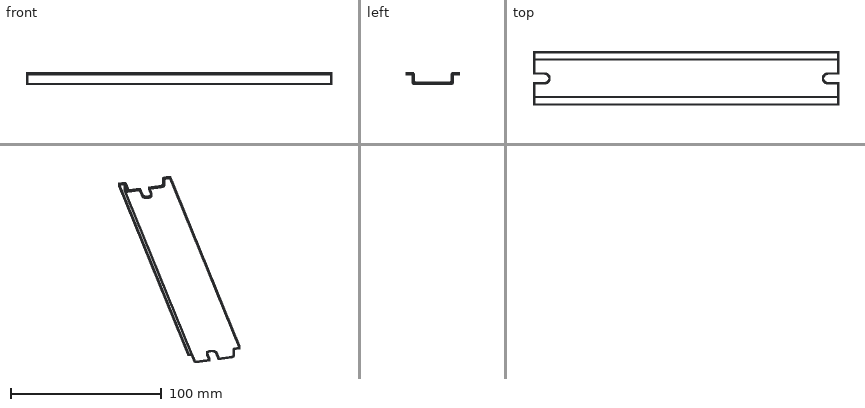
import cadquery as cq

length = 202.0
width = 35.0
height = 7.5
sheet = 1.0

channel_width = 27.0
inner_bend = 0.7
outer_bend = inner_bend + sheet

slot_width = 6.3
slot_depth = 10.0


def rail_profile():
    """Top-hat section in the YZ plane, with its base on Z = 0."""
    half_width = width / 2
    half_outer = channel_width / 2
    half_inner = half_outer - sheet
    return (
        cq.Workplane("YZ")
        .moveTo(-half_outer, 0)
        .lineTo(half_outer, 0)
        .lineTo(half_outer, height - sheet)
        .lineTo(half_width, height - sheet)
        .lineTo(half_width, height)
        .lineTo(half_inner, height)
        .lineTo(half_inner, sheet)
        .lineTo(-half_inner, sheet)
        .lineTo(-half_inner, height)
        .lineTo(-half_width, height)
        .lineTo(-half_width, height - sheet)
        .lineTo(-half_outer, height - sheet)
        .close()
    )


def bend_edges(body, y, z):
    """Select the two mirrored lengthwise edges at +/-y and height z."""
    middle = length / 2
    return body.edges(cq.NearestToPointSelector((middle, y, z))).add(
        body.edges(cq.NearestToPointSelector((middle, -y, z)))
    )


def bent_rail():
    """Extruded rail with both faces of every sheet bend rounded."""
    half_outer = channel_width / 2
    half_inner = half_outer - sheet
    bends = [
        (half_outer, 0, outer_bend),
        (half_inner, sheet, inner_bend),
        (half_inner, height, outer_bend),
        (half_outer, height - sheet, inner_bend),
    ]
    body = rail_profile().extrude(length)
    for y, z, radius in bends:
        body = bend_edges(body, y, z).fillet(radius)
    return body.translate((-length / 2, 0, 0))


def end_slot(end_x):
    """Cutter for a round-bottomed slot open at the rail end."""
    return (
        cq.Workplane("XY")
        .center(end_x, 0)
        .slot2D(2 * slot_depth, slot_width)
        .extrude(height)
    )


result = bent_rail()
for end_x in (-length / 2, length / 2):
    result = result.cut(end_slot(end_x))